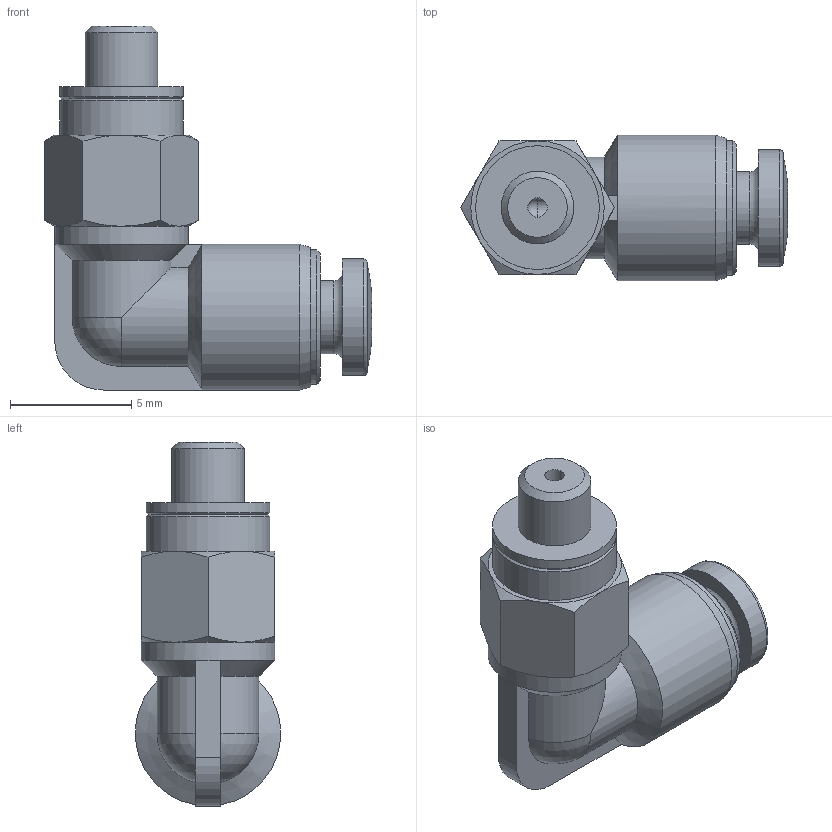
import cadquery as cq
import math


STEM_TOP = 12.0
STEM_RADIUS = 3.0 / 2
STEM_CHAMFER = 0.27
COLLAR_TOP = 9.5
COLLAR_RADIUS = 5.1 / 2
GROOVE_CENTRE = 9.0
GROOVE_HALF_WIDTH = 0.08
GROOVE_DEPTH = 0.08

HEX_TOP = 7.5
HEX_BOTTOM = 3.75
HEX_ACROSS_FLATS = 5.5
HEX_SIDES = 6
HEX_ACROSS_CORNERS = HEX_ACROSS_FLATS / math.cos(math.pi / HEX_SIDES)
HEX_CORNER_ANGLE = 30.0

NECK_RADIUS = HEX_ACROSS_FLATS / 2
NECK_BOTTOM = 3.0
ELBOW_RADIUS = 4.2 / 2
NECK_CONE_BOTTOM = NECK_BOTTOM - (NECK_RADIUS - ELBOW_RADIUS)
BORE_RADIUS = 0.8 / 2

BODY_RADIUS = 6.0 / 2
BODY_CONE_START = 2.75
BODY_START = 3.3
BODY_TAPER_START = 7.34
BODY_TAPER_END = 7.79
BODY_TAPER_RADIUS = 2.87
BODY_RIM_RADIUS = 5.54 / 2
BODY_END = 8.2
BODY_RIM_CHAMFER = 0.15

SLEEVE_RADIUS = 3.0 / 2
FLANGE_START = 9.1
FLANGE_RADIUS = 4.8 / 2
SLEEVE_FILLET = 0.4
SLEEVE_FILLET_START = 8.74
OVERALL_LENGTH = 13.48
SLEEVE_END = OVERALL_LENGTH - HEX_ACROSS_CORNERS / 2
FLANGE_ROUND_START = 9.97
FLANGE_ROUND_END = 10.12
FLANGE_ROUND_END_RADIUS = 2.22
DOME_RADIUS = 7.5
TUBE_BORE_RADIUS = 2.0 / 2

RIB_THICKNESS = 1.05
RIB_CORNER_RADIUS = 2.0


def turned_about_z(profile):
    """Revolve a closed (radius, z) profile about the stem axis."""
    return profile.close().revolve(360, (0, 0, 0), (0, 1, 0))


def turned_about_x(profile):
    """Revolve a closed (x, radius) profile about the tube axis."""
    return profile.close().revolve(360, (0, 0, 0), (1, 0, 0))


def make_stem():
    """Stem, grooved collar, neck and vertical elbow leg as one turned piece."""
    groove_radius = COLLAR_RADIUS - GROOVE_DEPTH
    return turned_about_z(
        cq.Workplane("XZ")
        .moveTo(0, 0)
        .lineTo(ELBOW_RADIUS, 0)
        .lineTo(ELBOW_RADIUS, NECK_CONE_BOTTOM)
        .lineTo(NECK_RADIUS, NECK_BOTTOM)
        .lineTo(NECK_RADIUS, HEX_BOTTOM)
        .lineTo(COLLAR_RADIUS, HEX_BOTTOM)
        .lineTo(COLLAR_RADIUS, GROOVE_CENTRE - GROOVE_HALF_WIDTH)
        .lineTo(groove_radius, GROOVE_CENTRE)
        .lineTo(COLLAR_RADIUS, GROOVE_CENTRE + GROOVE_HALF_WIDTH)
        .lineTo(COLLAR_RADIUS, COLLAR_TOP)
        .lineTo(STEM_RADIUS, COLLAR_TOP)
        .lineTo(STEM_RADIUS, STEM_TOP - STEM_CHAMFER)
        .lineTo(STEM_RADIUS - STEM_CHAMFER, STEM_TOP)
        .lineTo(0, STEM_TOP)
    )


def make_hexagon():
    """Hexagon with its corners turned off conically at both ends."""
    prism = (
        cq.Workplane("XY", origin=(0, 0, HEX_BOTTOM))
        .polygon(HEX_SIDES, HEX_ACROSS_CORNERS)
        .extrude(HEX_TOP - HEX_BOTTOM)
    )
    flat_radius = HEX_ACROSS_FLATS / 2
    corner_radius = HEX_ACROSS_CORNERS / 2
    drop = (corner_radius - flat_radius) * math.tan(math.radians(HEX_CORNER_ANGLE))
    turned_envelope = turned_about_z(
        cq.Workplane("XZ")
        .moveTo(0, HEX_BOTTOM)
        .lineTo(flat_radius, HEX_BOTTOM)
        .lineTo(corner_radius, HEX_BOTTOM + drop)
        .lineTo(corner_radius, HEX_TOP - drop)
        .lineTo(flat_radius, HEX_TOP)
        .lineTo(0, HEX_TOP)
    )
    return prism.intersect(turned_envelope)


def make_socket():
    """Horizontal elbow leg, socket body and release sleeve as one turned piece."""
    fillet_run = FLANGE_START - SLEEVE_FILLET_START
    fillet_rise = SLEEVE_FILLET - math.sqrt(SLEEVE_FILLET**2 - fillet_run**2)
    return turned_about_x(
        cq.Workplane("XZ")
        .moveTo(0, 0)
        .lineTo(0, ELBOW_RADIUS)
        .lineTo(BODY_CONE_START, ELBOW_RADIUS)
        .lineTo(BODY_START, BODY_RADIUS)
        .lineTo(BODY_TAPER_START, BODY_RADIUS)
        .lineTo(BODY_TAPER_END, BODY_TAPER_RADIUS)
        .lineTo(BODY_TAPER_END, BODY_RIM_RADIUS)
        .lineTo(BODY_END - BODY_RIM_CHAMFER, BODY_RIM_RADIUS)
        .lineTo(BODY_END, BODY_RIM_RADIUS - BODY_RIM_CHAMFER)
        .lineTo(BODY_END, SLEEVE_RADIUS)
        .lineTo(SLEEVE_FILLET_START, SLEEVE_RADIUS)
        .radiusArc((FLANGE_START, SLEEVE_RADIUS + fillet_rise), -SLEEVE_FILLET)
        .lineTo(FLANGE_START, FLANGE_RADIUS)
        .lineTo(FLANGE_ROUND_START, FLANGE_RADIUS)
        .tangentArcPoint((FLANGE_ROUND_END, FLANGE_ROUND_END_RADIUS), relative=False)
        .radiusArc((SLEEVE_END, TUBE_BORE_RADIUS), DOME_RADIUS)
        .lineTo(SLEEVE_END, 0)
    )


def make_rib():
    """Flat web in the plane of both axes, rounded at the outer corner."""
    return (
        cq.Workplane("XY")
        .box(
            BODY_START + NECK_RADIUS,
            RIB_THICKNESS,
            NECK_BOTTOM + BODY_RADIUS,
            centered=(False, True, False),
        )
        .translate((-NECK_RADIUS, 0, -BODY_RADIUS))
        .edges("|Y and <X and <Z")
        .fillet(RIB_CORNER_RADIUS)
    )


def make_bore():
    """Round-cornered elbow passage that widens to receive the tube."""
    stem_bore = cq.Workplane("XY").circle(BORE_RADIUS).extrude(STEM_TOP)
    cross_bore = cq.Workplane("YZ").circle(BORE_RADIUS).extrude(SLEEVE_END)
    corner = cq.Workplane("XY").sphere(BORE_RADIUS)
    tube_bore = (
        cq.Workplane("YZ", origin=(BODY_START, 0, 0))
        .circle(TUBE_BORE_RADIUS)
        .extrude(SLEEVE_END - BODY_START)
    )
    return stem_bore.union(cross_bore).union(corner).union(tube_bore)


elbow_corner = cq.Workplane("XY").sphere(ELBOW_RADIUS)

result = (
    make_stem()
    .union(make_hexagon())
    .union(make_socket())
    .union(elbow_corner)
    .union(make_rib())
    .cut(make_bore())
)